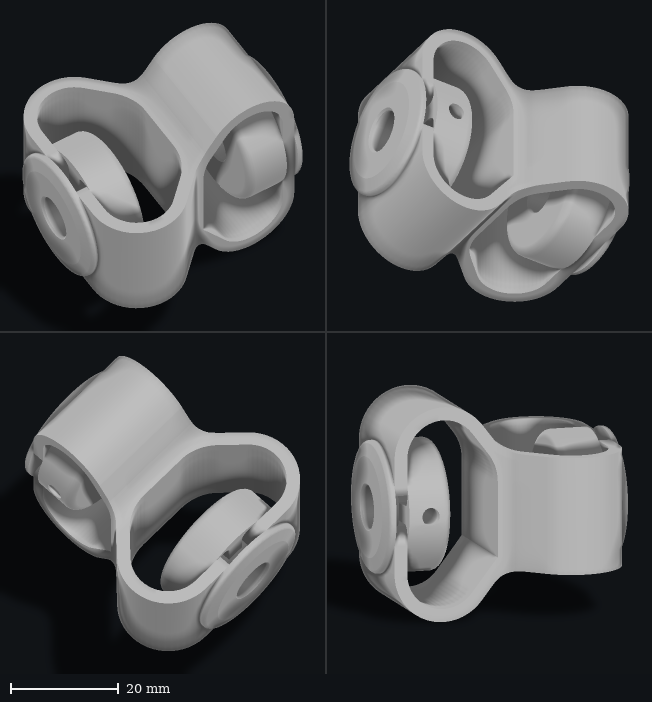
import cadquery as cq
import math

LENGTH = 47.75
STRAP_WIDTH = 22.15
WALL = 2.5
LOOP_SPAN = 40.75
LOOP_RADIUS = 9.5
BLEND_RADIUS = 6.0
WEB_FRONT = -0.65
WEB_REAR = 1.9
FRONT_BLEND_END = 3.3
REAR_BLEND_END = -2.35
FRONT_CORNER_RADIUS = 9.5
REAR_CORNER_RADIUS = 8.5

BUTTON_RADIUS = 12.45
CAP_THICKNESS = 1.9
CAP_CONE_HEIGHT = 0.75
CAP_FACE_RADIUS = 9.5
CAP_EDGE_FILLET = 0.75
HUB_LENGTH = 8.35
HUB_FILLET = 1.55
POST_RADIUS = 6.0
BORE_RADIUS = 4.05
BORE_CHAMFER = 0.4
PIN_HOLE_RADIUS = 1.65
PIN_HOLE_OFFSET = 8.6

MOUTH_HALF_WIDTH = 5.5
MOUTH_RADIUS = 1.75
THROAT_HALF_WIDTH = 2.85
RECESS_DEPTH = 2.25
KEY_HALF_WIDTH = 1.65
RECESS_CORNER_RADIUS = 1.58

half_width = STRAP_WIDTH / 2
half_length = LENGTH / 2
loop_end = half_length - CAP_THICKNESS
end_center_side = LOOP_SPAN / 2 - LOOP_RADIUS
end_center_out = loop_end - LOOP_RADIUS
inner_radius = LOOP_RADIUS - WALL
throat_z = math.sqrt(POST_RADIUS**2 - THROAT_HALF_WIDTH**2)


def lean_angle(blend_end):
    """Angle between the Y axis and the straight flank of a loop."""
    across = half_width + BLEND_RADIUS - end_center_side
    along = end_center_out - blend_end
    crossing = math.asin((LOOP_RADIUS + BLEND_RADIUS) / math.hypot(across, along))
    return crossing - math.atan2(across, along)


def arc_point(center, radius, angle):
    """Point on an arc, at an angle from the side direction; positive angles lead to the loop end."""
    return (center[0] + radius * math.cos(angle), center[1] + radius * math.sin(angle))


def mirrored(point):
    return (-point[0], point[1])


def loop_outline(plane, blend_end):
    """Outer silhouette (side, out) of a loop and its neck, as a slab reaching past the part."""
    lean = lean_angle(blend_end)
    end_center = (end_center_side, end_center_out)
    blend_center = (half_width + BLEND_RADIUS, blend_end)
    neck_end = (half_width, -half_length)
    neck_top = (half_width, blend_end)
    blend_mid = arc_point(blend_center, BLEND_RADIUS, math.pi - lean / 2)
    blend_tangent = arc_point(blend_center, BLEND_RADIUS, math.pi - lean)
    flank_tangent = arc_point(end_center, LOOP_RADIUS, -lean)
    end_mid = arc_point(end_center, LOOP_RADIUS, (math.pi / 2 - lean) / 2)
    end_tangent = (end_center_side, loop_end)
    return (
        cq.Workplane(plane)
        .moveTo(*neck_end)
        .lineTo(*neck_top)
        .threePointArc(blend_mid, blend_tangent)
        .lineTo(*flank_tangent)
        .threePointArc(end_mid, end_tangent)
        .lineTo(*mirrored(end_tangent))
        .threePointArc(mirrored(end_mid), mirrored(flank_tangent))
        .lineTo(*mirrored(blend_tangent))
        .threePointArc(mirrored(blend_mid), mirrored(neck_top))
        .lineTo(*mirrored(neck_end))
        .close()
        .extrude(half_length, both=True)
    )


def loop_cavity(plane, blend_end, web):
    """Opening inside a loop, with sharp corners beside the web."""
    lean = lean_angle(blend_end)
    end_center = (end_center_side, end_center_out)
    flank_tangent = arc_point(end_center, inner_radius, -lean)
    end_mid = arc_point(end_center, inner_radius, (math.pi / 2 - lean) / 2)
    end_tangent = (end_center_side, end_center_out + inner_radius)
    web_corner = (flank_tangent[0] - (flank_tangent[1] - web) * math.tan(lean), web)
    return (
        cq.Workplane(plane)
        .moveTo(*web_corner)
        .lineTo(*flank_tangent)
        .threePointArc(end_mid, end_tangent)
        .lineTo(*mirrored(end_tangent))
        .threePointArc(mirrored(end_mid), mirrored(flank_tangent))
        .lineTo(*mirrored(web_corner))
        .close()
        .extrude(half_length, both=True)
    )


def button():
    """Turned button with its outer face at Y = -half_length."""
    hub_start = -loop_end + WALL
    hub_end = hub_start + HUB_LENGTH
    cap = (
        cq.Workplane("XY")
        .moveTo(0, -half_length)
        .lineTo(CAP_FACE_RADIUS, -half_length)
        .lineTo(BUTTON_RADIUS, -half_length + CAP_CONE_HEIGHT)
        .lineTo(BUTTON_RADIUS, -loop_end)
        .lineTo(0, -loop_end)
        .close()
        .revolve(360, (0, 0, 0), (0, 1, 0))
        .edges(cq.selectors.RadiusNthSelector(-1))
        .edges("<Y")
        .fillet(CAP_EDGE_FILLET)
    )
    post = cq.Workplane("XZ", origin=(0, -loop_end, 0)).circle(POST_RADIUS).extrude(-WALL)
    hub = (
        cq.Workplane("XZ", origin=(0, hub_start, 0))
        .circle(BUTTON_RADIUS)
        .extrude(-HUB_LENGTH)
        .faces(">Y")
        .edges()
        .fillet(HUB_FILLET)
    )
    bore = (
        cq.Workplane("XZ", origin=(0, -half_length, 0))
        .circle(BORE_RADIUS)
        .extrude(-(hub_end + half_length))
    )
    body = cap.union(post).union(hub).cut(bore)
    bore_rims = body.faces("<Y or >Y").edges(cq.selectors.RadiusNthSelector(0))
    return bore_rims.chamfer(BORE_CHAMFER)


def snap_slot(depth):
    """Rounded mouth and tapered throat from the top edge down to the post, cut inwards to a depth."""
    mouth_center = (MOUTH_HALF_WIDTH, half_width - MOUTH_RADIUS)
    reach = (THROAT_HALF_WIDTH - mouth_center[0], throat_z - mouth_center[1])
    distance = math.hypot(*reach)
    tangent_angle = math.atan2(reach[1], reach[0]) % math.tau - math.acos(MOUTH_RADIUS / distance)
    tangent = arc_point(mouth_center, MOUTH_RADIUS, tangent_angle)
    mid = arc_point(mouth_center, MOUTH_RADIUS, (tangent_angle + math.pi / 2) / 2)
    mouth = (MOUTH_HALF_WIDTH, half_width)
    throat = (THROAT_HALF_WIDTH, throat_z)
    return (
        cq.Workplane("XZ", origin=(0, -loop_end, 0))
        .moveTo(0, 0)
        .lineTo(*throat)
        .lineTo(*tangent)
        .threePointArc(mid, mouth)
        .lineTo(*mirrored(mouth))
        .threePointArc(mirrored(mid), mirrored(tangent))
        .lineTo(*mirrored(throat))
        .close()
        .extrude(-depth)
    )


def hub_recess():
    """Pockets in the hub face behind the slot sides, leaving a central key with flared shoulders."""
    pocket_width = MOUTH_HALF_WIDTH - KEY_HALF_WIDTH
    pocket = (
        cq.Workplane("XY")
        .box(pocket_width, RECESS_DEPTH, half_width - throat_z, centered=False)
        .edges("|Y and <X and >Z")
        .fillet(RECESS_CORNER_RADIUS)
        .translate((KEY_HALF_WIDTH, WALL - loop_end, throat_z))
    )
    return pocket.union(pocket.mirror("YZ")).intersect(snap_slot(WALL + RECESS_DEPTH))


def to_rear(shape):
    """Carry a front-loop feature to the rear loop: facing +Y, with its slot side towards -X."""
    return shape.rotate((0, 0, 0), (0, 0, 1), 180).rotate((0, 0, 0), (0, 1, 0), -90)


front_plane = cq.Plane(origin=(0, 0, 0), xDir=(1, 0, 0), normal=(0, 0, -1))
rear_plane = cq.Plane(origin=(0, 0, 0), xDir=(0, 0, -1), normal=(1, 0, 0))

front_cavity = loop_cavity(front_plane, -FRONT_BLEND_END, -WEB_FRONT)
front_cavity = front_cavity.faces(">Y").edges("|Z").fillet(FRONT_CORNER_RADIUS)
rear_cavity = loop_cavity(rear_plane, REAR_BLEND_END, WEB_REAR)
rear_cavity = rear_cavity.faces("<Y").edges("|X and >Z").fillet(REAR_CORNER_RADIUS)
strap = loop_outline(front_plane, -FRONT_BLEND_END).intersect(loop_outline(rear_plane, REAR_BLEND_END))
strap = strap.cut(front_cavity).cut(rear_cavity)
strap = strap.cut(snap_slot(WALL)).cut(to_rear(snap_slot(WALL)))

post_seat = cq.Workplane("XZ", origin=(0, -loop_end, 0)).circle(POST_RADIUS).extrude(-WALL)
strap = strap.cut(post_seat).cut(to_rear(post_seat))

pin_hole = (
    cq.Workplane("YZ", origin=(-BUTTON_RADIUS, half_length - PIN_HOLE_OFFSET, 0))
    .circle(PIN_HOLE_RADIUS)
    .extrude(BUTTON_RADIUS)
)
front_button = button().cut(hub_recess())
rear_button = to_rear(front_button).cut(pin_hole)

result = strap.union(front_button).union(rear_button)